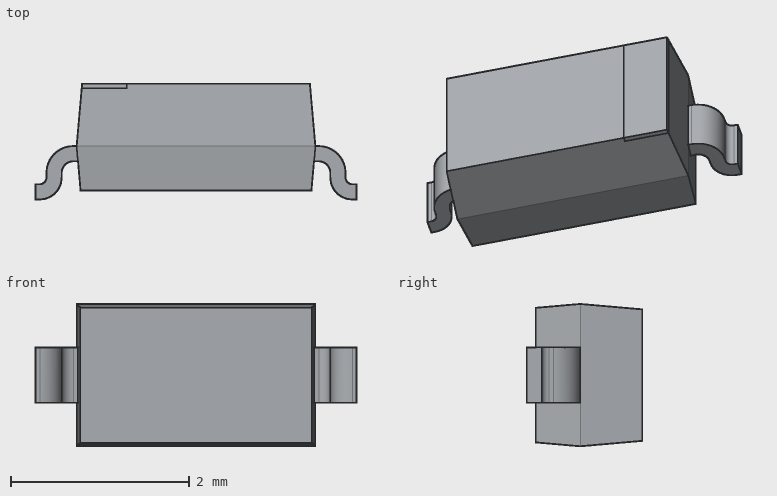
import cadquery as cq
import math

overall_length = 3.6
standoff = 0.1

housing_length = 2.68
housing_height = 1.6
back_depth = 0.7
front_depth = 0.5
draft_angle = 5.0

band_length = 0.5
band_thickness = 0.05

lead_width = 0.623
lead_thickness = 0.173
lead_insertion = 0.18
foot_length = 0.045
foot_inner_radius = 0.075
shoulder_inner_radius = 0.13

foot_outer_radius = foot_inner_radius + lead_thickness
shoulder_outer_radius = shoulder_inner_radius + lead_thickness
foot_depth = front_depth + standoff


def make_envelope():
    """Complete moulded outline, including the space taken by the band and the lead roots."""
    front = (
        cq.Workplane("XZ")
        .rect(housing_length, housing_height)
        .extrude(front_depth, taper=draft_angle)
    )
    back = (
        cq.Workplane("XZ")
        .rect(housing_length, housing_height)
        .extrude(-back_depth, taper=draft_angle)
    )
    return front.union(back)


def make_band(envelope):
    """Strip across the full height of the back face, following its draft."""
    back_half_length = housing_length / 2 - back_depth * math.tan(math.radians(draft_angle))
    band_end = -back_half_length + band_length
    region = cq.Workplane("XY").box(
        overall_length, band_thickness, housing_height, centered=(False, False, True)
    ).translate((band_end - overall_length, back_depth - band_thickness, 0))
    return envelope.intersect(region)


def make_lead(side):
    """S-shaped lead on the -X (side = -1) or +X (side = 1) end."""
    tip = overall_length / 2
    foot_bend = tip - foot_length
    inner_face = foot_bend - foot_outer_radius
    outer_face = inner_face + lead_thickness
    shoulder_bend = inner_face - shoulder_inner_radius
    shoulder_y = -shoulder_outer_radius
    foot_y = -foot_depth + foot_outer_radius
    root = housing_length / 2 - lead_insertion
    diagonal = math.sqrt(0.5)

    def on_arc(centre_x, centre_y, radius, direction):
        """Middle of a quarter bend, towards +X +Y (1) or -X -Y (-1)."""
        offset = direction * radius * diagonal
        return side * (centre_x + offset), centre_y + offset

    profile = (
        cq.Workplane("XY")
        .moveTo(side * root, 0)
        .lineTo(side * shoulder_bend, 0)
        .threePointArc(
            on_arc(shoulder_bend, shoulder_y, shoulder_outer_radius, 1),
            (side * outer_face, shoulder_y),
        )
        .lineTo(side * outer_face, foot_y)
        .threePointArc(
            on_arc(foot_bend, foot_y, foot_inner_radius, -1),
            (side * foot_bend, foot_y - foot_inner_radius),
        )
        .lineTo(side * tip, foot_y - foot_inner_radius)
        .lineTo(side * tip, -foot_depth)
        .lineTo(side * foot_bend, -foot_depth)
        .threePointArc(
            on_arc(foot_bend, foot_y, foot_outer_radius, -1),
            (side * inner_face, foot_y),
        )
        .lineTo(side * inner_face, shoulder_y)
        .threePointArc(
            on_arc(shoulder_bend, shoulder_y, shoulder_inner_radius, 1),
            (side * shoulder_bend, -lead_thickness),
        )
        .lineTo(side * root, -lead_thickness)
        .close()
    )
    return profile.extrude(lead_width / 2, both=True)


def make_housing(envelope, inserts):
    """Moulded body with a matching recess for every inserted body."""
    housing = envelope
    for insert in inserts:
        housing = housing.cut(insert)
    return housing


envelope = make_envelope()
band = make_band(envelope)
leads = [make_lead(side) for side in (-1, 1)]
housing = make_housing(envelope, [band, *leads])

bodies = [housing, band, *leads]
result = cq.Compound.makeCompound([body.solids().val() for body in bodies])